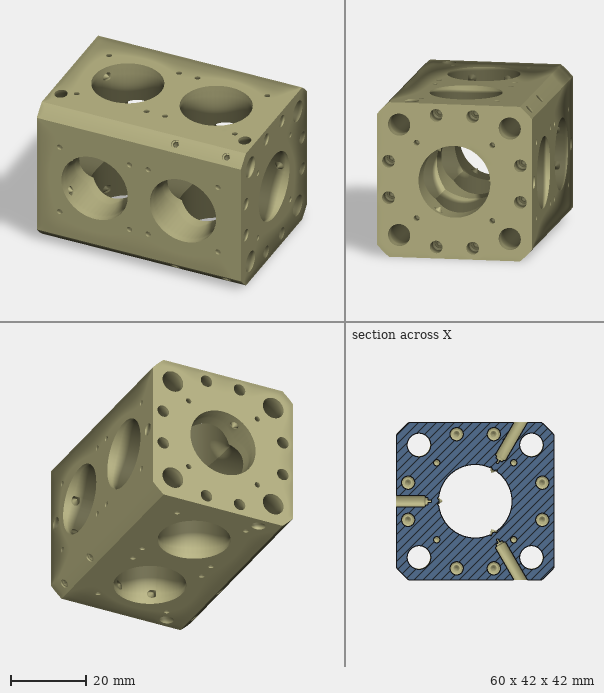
import cadquery as cq
import math

LENGTH = 60.0
WIDTH = 42.0
CORNER_DIAMETER = 55.0

BORE_DIAMETER = 19.5
BORE_SPACING = 26.0
BORE_RADIUS = BORE_DIAMETER / 2

MOUNT_DIAMETER = 1.55
MOUNT_PITCH = 20.5
MOUNT_DEPTH = 3.0

ROD_DIAMETER = 6.0
ROD_RELIEF_DIAMETER = 6.2
ROD_PITCH = 30.0

SCREW_DIAMETER = 2.45
SCREW_RADIUS = SCREW_DIAMETER / 2
SCREW_LENGTH = 4.0
SOCKET_ACROSS_FLATS = 1.55
SOCKET_DEPTH = 1.0
NOSE_ANGLE = 75.0
NOSE_TIP_RADIUS = 0.1
NOSE_LENGTH = (SCREW_RADIUS - NOSE_TIP_RADIUS) / math.tan(math.radians(NOSE_ANGLE / 2))

ACCESS_DIAMETER = 3.4
ACCESS_LAND = 0.5
DRILL_POINT_ANGLE = 118.0

END_SCREW_TIP = 9.2
END_SCREW_PITCH = 9.9
END_SCREW_OFFSET = 17.9

RADIAL_SCREW_ANGLES = (0, 120, 240)
RADIAL_SCREW_INSET = 3.0
RADIAL_SCREW_TIP = 8.7

ROD_SCREW_POSITIONS = (40.0, 55.0)
ROD_SCREW_RECESS = 0.5

HALF_LENGTH = LENGTH / 2
HALF_WIDTH = WIDTH / 2
EDGE_RADIUS = CORNER_DIAMETER / 2
SIGNS = (-1, 1)
QUARTER_TURNS = (0, 90, 180, 270)


def drill_point(diameter):
    """Height of the cone a drill of this diameter leaves."""
    return diameter / 2 / math.tan(math.radians(DRILL_POINT_ANGLE / 2))


def revolved(*profile):
    """Solid of revolution about X from (axial position, radius) points."""
    return cq.Workplane("XY").polyline(profile).close().revolve(360, (0, 0, 0), (1, 0, 0)).val()


def drill(diameter, depth):
    """Drilled hole starting at the origin and going along +X, with a conical bottom."""
    radius = diameter / 2
    return revolved((0, 0), (0, radius), (depth, radius), (depth + drill_point(diameter), 0))


def hexagon_socket():
    """Socket along +X from the origin, with the drill point of its pilot hole at the bottom."""
    corner_diameter = SOCKET_ACROSS_FLATS / math.cos(math.pi / 6)
    hexagon = cq.Workplane("YZ").polygon(6, corner_diameter).extrude(SOCKET_DEPTH).val()
    return hexagon.fuse(drill(SOCKET_ACROSS_FLATS, SOCKET_DEPTH))


def socket_recess(recess):
    """A hole profile along +X from the origin, with the socket of a screw in its bottom."""
    floor = max(point[0] for point in recess)
    return revolved(*recess).fuse(hexagon_socket().translate((floor, 0, 0)))


def access_hole(head_depth):
    """Access hole along +X from the origin, narrowing to a screw head at the given depth."""
    access_radius = ACCESS_DIAMETER / 2
    shoulder_end = head_depth - ACCESS_LAND
    shoulder_start = shoulder_end - drill_point(ACCESS_DIAMETER) + drill_point(SCREW_DIAMETER)
    return socket_recess([
        (0, 0), (0, access_radius), (shoulder_start, access_radius),
        (shoulder_end, SCREW_RADIUS), (head_depth, SCREW_RADIUS), (head_depth, 0),
    ])


def screw_nose():
    """Conical nose of a clamping screw, pointing along +X with its blunt tip at the origin."""
    return revolved((0, 0), (0, NOSE_TIP_RADIUS), (-NOSE_LENGTH, SCREW_RADIUS), (-NOSE_LENGTH, 0))


def nose_clearance():
    """Part of the screw hole around the nose."""
    return revolved((0, 0), (0, SCREW_RADIUS), (-NOSE_LENGTH, SCREW_RADIUS), (-NOSE_LENGTH, 0))


def about_x(solid, angle):
    return solid.rotate((0, 0, 0), (1, 0, 0), angle)


def at_both_ends(solid):
    return [solid, solid.mirror("YZ")]


def body():
    square = cq.Workplane("YZ", origin=(-HALF_LENGTH, 0, 0)).rect(WIDTH, WIDTH).extrude(LENGTH)
    turned = cq.Workplane("YZ", origin=(-HALF_LENGTH, 0, 0)).circle(EDGE_RADIUS).extrude(LENGTH)
    return square.intersect(turned).val()


def bores():
    half_bore = revolved((0, 0), (0, BORE_RADIUS), (LENGTH, BORE_RADIUS), (LENGTH, 0))
    long_bore = half_bore.translate((-HALF_LENGTH, 0, 0))
    cutters = [long_bore]
    cross_bore = long_bore.rotate((0, 0, 0), (0, 0, 1), 90)
    for side in SIGNS:
        for turn in (0, 90):
            cutters.append(about_x(cross_bore, turn).translate((side * BORE_SPACING / 2, 0, 0)))
    return cutters


def mount_square(face_distance):
    """Four mounting holes around the X axis, drilled along +X from x = -face_distance."""
    hole = drill(MOUNT_DIAMETER, MOUNT_DEPTH)
    corner = hole.translate((-face_distance, MOUNT_PITCH / 2, MOUNT_PITCH / 2))
    return [about_x(corner, turn) for turn in QUARTER_TURNS]


def mount_holes():
    cutters = []
    for hole in mount_square(HALF_LENGTH):
        cutters += at_both_ends(hole)
    for hole in mount_square(HALF_WIDTH):
        side_hole = hole.rotate((0, 0, 0), (0, 0, 1), 90).translate((-BORE_SPACING / 2, 0, 0))
        for turn in QUARTER_TURNS:
            cutters += at_both_ends(about_x(side_hole, turn))
    return cutters


def rod_holes():
    relief_radius = ROD_RELIEF_DIAMETER / 2
    rod_radius = ROD_DIAMETER / 2
    shoulder = drill_point(ROD_RELIEF_DIAMETER) - drill_point(ROD_DIAMETER)
    hole = revolved(
        (-HALF_LENGTH, 0), (-HALF_LENGTH, relief_radius), (0, relief_radius),
        (shoulder, rod_radius), (HALF_LENGTH, rod_radius), (HALF_LENGTH, 0),
    ).translate((0, ROD_PITCH / 2, ROD_PITCH / 2))
    return [about_x(hole, turn) for turn in QUARTER_TURNS]


def end_clamps(tool):
    """Copies of a tool along +X, from the end faces inwards, two beside each of the four sides."""
    copies = []
    for side in SIGNS:
        placed = tool.translate((-HALF_LENGTH, side * END_SCREW_PITCH / 2, END_SCREW_OFFSET))
        for turn in QUARTER_TURNS:
            copies += at_both_ends(about_x(placed, turn))
    return copies


def radial_clamps(tool, start_radius):
    """Copies of a tool turned to point at the X axis, starting at a radius from it."""
    inward = tool.rotate((0, 0, 0), (0, 0, 1), -90)
    placed = inward.translate((RADIAL_SCREW_INSET - HALF_LENGTH, start_radius, 0))
    copies = []
    for angle in RADIAL_SCREW_ANGLES:
        copies += at_both_ends(about_x(placed, angle))
    return copies


def rod_clamps():
    """Screw recesses pointing at the X axis from the middle of each rounded edge."""
    recess = socket_recess([
        (0, 0), (0, SCREW_RADIUS), (ROD_SCREW_RECESS, SCREW_RADIUS), (ROD_SCREW_RECESS, 0),
    ])
    inward = recess.rotate((0, 0, 0), (0, 0, 1), -90)
    copies = []
    for position in ROD_SCREW_POSITIONS:
        placed = inward.translate((position - HALF_LENGTH, EDGE_RADIUS, 0))
        copies += [about_x(placed, turn + 45) for turn in QUARTER_TURNS]
    return copies


def clamp_tips(shape):
    """Copies of a shape with its origin at the nose tip of every clamping screw."""
    return end_clamps(shape.translate((END_SCREW_TIP, 0, 0))) + radial_clamps(shape, RADIAL_SCREW_TIP)


def access_holes():
    end_holes = end_clamps(access_hole(END_SCREW_TIP - SCREW_LENGTH))
    radial_depth = EDGE_RADIUS - RADIAL_SCREW_TIP - SCREW_LENGTH
    return end_holes + radial_clamps(access_hole(radial_depth), EDGE_RADIUS)


first_bore, *other_bores = bores()
bore_volume = first_bore.fuse(*other_bores, *clamp_tips(nose_clearance()))
bore_volume = bore_volume.cut(*clamp_tips(screw_nose()))
bored_body = body().cut(bore_volume).cut(*rod_holes())

small_holes = cq.Compound.makeCompound(mount_holes() + access_holes() + rod_clamps())
result = cq.Workplane(bored_body.cut(small_holes).Solids()[0])